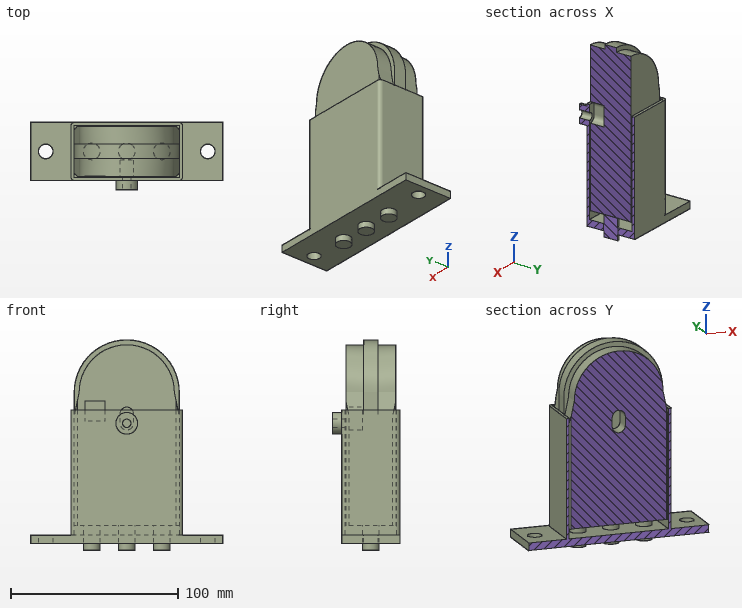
import cadquery as cq


base_length = 115.0
base_thickness = 5.0
mount_hole_diameter = 8.6
mount_hole_spacing = 97.0
housing_length = 67.0
housing_width = 35.0
housing_top = 80.0
housing_corner_radius = 2.5
wall = 2.0
cavity_length = housing_length - 2 * wall
cavity_width = housing_width - 2 * wall

boss_diameter = 13.0
boss_projection = 5.5
boss_hole_diameter = 5.0
boss_height = 72.0

slider_length = cavity_length
slider_width = 30.0
slider_top = 122.0
slider_corner_chamfer = 2.0
rib_width = 8.7
rib_radius = slider_length / 2
rib_step = 3.0
head_radius = rib_radius - rib_step
head_center_height = slider_top - rib_radius
flare_height = 14.5
flare_bottom = head_center_height - flare_height
slot_width = 8.0
slot_depth = 10.0
slot_top = 81.7
slot_bottom = boss_height - slot_width / 2
slot_height = slot_top - slot_bottom
slider_travel = slot_height - slot_width
slider_bottom = base_thickness + slider_travel

recess_size = 12.0
recess_center_x = -19.0
recess_top = 85.5
recess_depth = 0.2

pin_count = 3
pin_diameter = 10.0
pin_spacing = 21.0
pin_projection = 4.0

housing_front = -housing_width / 2
slider_front = -slider_width / 2
pin_positions = [((i - (pin_count - 1) / 2) * pin_spacing, 0) for i in range(pin_count)]


def cylinder_along_y(diameter, height, y_start, length):
    """Cylinder centred on X = 0 at the given height, running toward +Y from y_start."""
    start = cq.Vector(0, y_start, height)
    return cq.Workplane(cq.Solid.makeCylinder(diameter / 2, length, start, cq.Vector(0, 1, 0)))


def make_housing():
    base = cq.Workplane().box(base_length, housing_width, base_thickness, centered=(True, True, False))
    tube = (
        cq.Workplane()
        .workplane(offset=base_thickness)
        .rect(housing_length, housing_width)
        .extrude(housing_top - base_thickness)
        .edges("|Z")
        .fillet(housing_corner_radius)
    )
    boss = cylinder_along_y(boss_diameter, boss_height, housing_front - boss_projection, boss_projection)
    cavity = (
        cq.Workplane()
        .workplane(offset=base_thickness)
        .rect(cavity_length, cavity_width)
        .extrude(housing_top - base_thickness)
    )
    boss_hole = cylinder_along_y(
        boss_hole_diameter, boss_height, housing_front - boss_projection, boss_projection + wall
    )
    mount_holes = (
        cq.Workplane()
        .pushPoints([(-mount_hole_spacing / 2, 0), (mount_hole_spacing / 2, 0)])
        .circle(mount_hole_diameter / 2)
        .extrude(base_thickness)
    )
    pin_holes = cq.Workplane().pushPoints(pin_positions).circle(pin_diameter / 2).extrude(base_thickness)
    return base.union(tube).union(boss).cut(cavity).cut(boss_hole).cut(mount_holes).cut(pin_holes)


def make_slider_core():
    """Full-width slider: straight below, flaring inward to the smaller round head."""
    half_length = slider_length / 2
    profile = (
        cq.Workplane("XZ")
        .moveTo(-half_length, slider_bottom)
        .lineTo(half_length, slider_bottom)
        .lineTo(half_length, flare_bottom)
        .lineTo(head_radius, head_center_height)
        .threePointArc((0, head_center_height + head_radius), (-head_radius, head_center_height))
        .lineTo(-half_length, flare_bottom)
        .close()
        .extrude(slider_width / 2, both=True)
    )
    chamfered_block = (
        cq.Workplane()
        .workplane(offset=slider_bottom)
        .rect(slider_length, slider_width)
        .extrude(slider_top - slider_bottom)
        .edges("|Z")
        .chamfer(slider_corner_chamfer)
    )
    return profile.intersect(chamfered_block)


def make_rib():
    """Central chain-guide rib with a full-radius top."""
    return (
        cq.Workplane("XZ")
        .moveTo(-rib_radius, slider_bottom)
        .lineTo(rib_radius, slider_bottom)
        .lineTo(rib_radius, head_center_height)
        .threePointArc((0, slider_top), (-rib_radius, head_center_height))
        .close()
        .extrude(rib_width / 2, both=True)
    )


def make_slider():
    slot = (
        cq.Workplane("XZ", origin=(0, slider_front, slot_bottom + slot_height / 2))
        .slot2D(slot_height, slot_width, 90)
        .extrude(-slot_depth)
    )
    recess = cq.Workplane().box(recess_size, recess_depth, recess_size).translate(
        (recess_center_x, slider_front + recess_depth / 2, recess_top - recess_size / 2)
    )
    return make_slider_core().union(make_rib()).cut(slot).cut(recess)


def make_pin(position):
    """Pin from below the base plate up to the underside of the slider."""
    return (
        cq.Workplane()
        .workplane(offset=-pin_projection)
        .center(*position)
        .circle(pin_diameter / 2)
        .extrude(slider_bottom + pin_projection)
    )


housing = make_housing()
slider = make_slider()
pins = [make_pin(position) for position in pin_positions]

result = cq.Compound.makeCompound([housing.val(), slider.val(), *[pin.val() for pin in pins]])